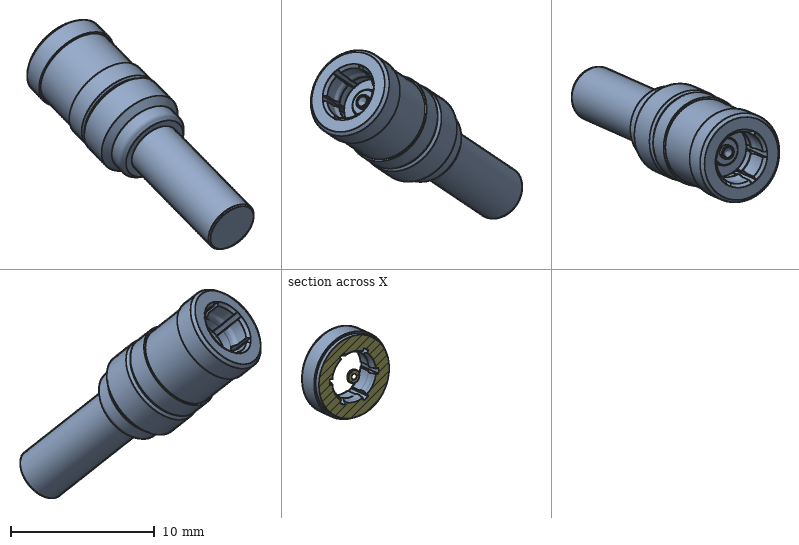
import cadquery as cq

total_length = 20.45
band_radius = 3.2
band_chamfer = 0.22
front_band_end = 1.68
rear_band_start = 5.32
rear_band_end = 6.8
waist_radius = 3.05

collar_radius = 3.25
collar_front = 7.0
collar_chamfer = collar_radius - waist_radius
collar_end = 9.3

shoulder_radius = 2.75
shoulder_end = 11.1
shoulder_chamfer = 0.3
shoulder_blend = 0.27

tube_radius = 1.95
tube_end_chamfer = 0.1

mouth_radius = 2.09
mouth_taper = 0.22
bore_radius = 1.86
socket_depth = 2.86
ridge_start = 1.17
ridge_height = 0.15
ridge_ramp = 0.25
ridge_flat = 0.3
ridge_blend = 0.12

slot_count = 6
slot_width = 0.4

insulator_front = 2.54
boss_radius = 1.02
boss_chamfer = 0.08
boss_front = 2.17
pin_radius = 0.5
pin_front = 1.88
pin_mouth_radius = 0.37
pin_hole_radius = 0.29
pin_hole_depth = 0.29


def revolve_profile(points):
    """Revolve a closed outline of (x, radius) points about the X axis."""
    return cq.Workplane("XY").polyline(points).close().revolve(360, (0, 0, 0), (1, 0, 0))


def make_body():
    groove_front = rear_band_end + band_radius - waist_radius
    shoulder_start = collar_end + collar_radius - shoulder_radius
    chamfer_start = shoulder_end - shoulder_chamfer
    body = revolve_profile([
        (0, 0),
        (0, band_radius - band_chamfer),
        (band_chamfer, band_radius),
        (front_band_end, band_radius),
        (front_band_end, waist_radius),
        (rear_band_start, waist_radius),
        (rear_band_start, band_radius),
        (rear_band_end, band_radius),
        (groove_front, waist_radius),
        (collar_front, waist_radius),
        (collar_front + collar_chamfer, collar_radius),
        (collar_end, collar_radius),
        (shoulder_start, shoulder_radius),
        (chamfer_start, shoulder_radius),
        (shoulder_end, shoulder_radius - shoulder_chamfer),
        (shoulder_end, tube_radius),
        (total_length - tube_end_chamfer, tube_radius),
        (total_length, tube_radius - tube_end_chamfer),
        (total_length, 0),
    ])
    margin = shoulder_chamfer / 2
    edge_zone = cq.selectors.BoxSelector(
        (chamfer_start - margin, -collar_radius, -collar_radius),
        (chamfer_start + margin, collar_radius, collar_radius),
        boundingbox=True,
    )
    return body.edges(edge_zone).fillet(shoulder_blend)


def make_socket():
    """Tapered mouth and bore, narrowed by a snap ridge."""
    ridge_radius = bore_radius - ridge_height
    ridge_top = ridge_start + ridge_ramp
    ridge_top_end = ridge_top + ridge_flat
    ridge_end = ridge_top_end + ridge_height
    socket = revolve_profile([
        (0, 0),
        (0, mouth_radius),
        (mouth_taper, bore_radius),
        (ridge_start, bore_radius),
        (ridge_top, ridge_radius),
        (ridge_top_end, ridge_radius),
        (ridge_end, bore_radius),
        (socket_depth, bore_radius),
        (socket_depth, 0),
    ])
    margin = ridge_flat / 2
    ridge_zone = cq.selectors.BoxSelector(
        (ridge_start - margin, -mouth_radius, -mouth_radius),
        (ridge_end + margin, mouth_radius, mouth_radius),
        boundingbox=True,
    )
    return socket.edges(ridge_zone).fillet(ridge_blend)


def make_slots():
    """Slots that split the socket wall into spring fingers."""
    bars = cq.Workplane("YZ")
    for index in range(slot_count // 2):
        bar = (
            cq.Workplane("YZ")
            .rect(2 * mouth_radius, slot_width)
            .extrude(socket_depth)
            .rotate((0, 0, 0), (1, 0, 0), index * 360 / slot_count)
        )
        bars = bars.add(bar)
    limit = cq.Workplane("YZ").circle(mouth_radius).extrude(socket_depth)
    return bars.combine().intersect(limit)


def make_contact():
    """Insulator and its boss with the hollow-tipped pin at its centre."""
    return revolve_profile([
        (socket_depth, 0),
        (socket_depth, bore_radius),
        (insulator_front, bore_radius),
        (insulator_front, boss_radius),
        (boss_front + boss_chamfer, boss_radius),
        (boss_front, boss_radius - boss_chamfer),
        (boss_front, pin_radius),
        (pin_front, pin_radius),
        (pin_front, pin_mouth_radius),
        (pin_front + pin_mouth_radius - pin_hole_radius, pin_hole_radius),
        (pin_front + pin_hole_depth, 0),
    ])


result = make_body().cut(make_socket()).cut(make_slots()).union(make_contact())